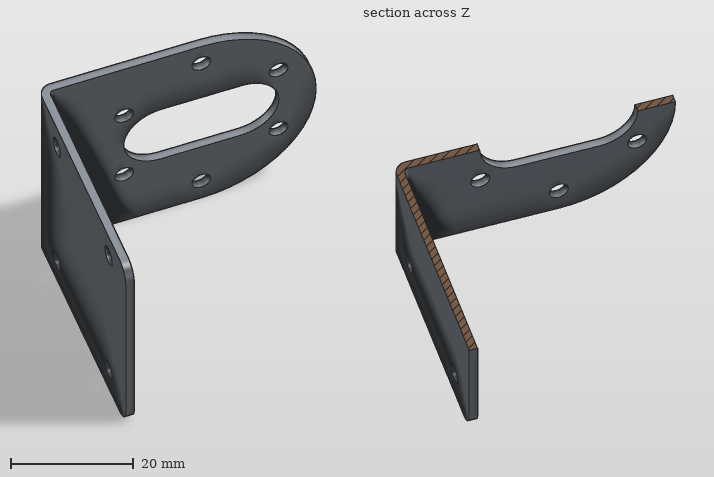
import cadquery as cq

width = 41.0
depth = 48.0
height = 40.0
thickness = 1.5
bend_outer_radius = 2.25
bend_inner_radius = bend_outer_radius - thickness
corner_radius = 3.0

mount_hole_diameter = 3.4
mount_hole_near_x = 9.0
mount_hole_spacing_x = 24.0
mount_hole_spacing_z = 30.0

end_radius = height / 2
motor_center_y = depth - end_radius
motor_hole_diameter = 3.25
motor_circle_radius = 15.5
motor_hole_count = 6
slot_length = 27.0
slot_width = 13.0


def bent_sheet():
    """L-shaped sheet with its bend along Z, centred on Z = 0."""
    sheet = (
        cq.Workplane("XY")
        .polyline([
            (0, 0),
            (width, 0),
            (width, thickness),
            (thickness, thickness),
            (thickness, depth),
            (0, depth),
        ])
        .close()
        .extrude(height / 2, both=True)
    )
    sheet = sheet.edges(cq.selectors.NearestToPointSelector((0, 0, 0))).fillet(bend_outer_radius)
    inner_corner = cq.selectors.NearestToPointSelector((thickness, thickness, 0))
    return sheet.edges(inner_corner).fillet(bend_inner_radius)


def round_plate_ends(sheet):
    """Round the mounting plate corners and the end of the motor plate."""
    sheet = sheet.faces(">X").edges("|Y").fillet(corner_radius)
    motor_outline = (
        cq.Workplane("YZ")
        .moveTo(0, -end_radius)
        .lineTo(motor_center_y, -end_radius)
        .threePointArc((depth, 0), (motor_center_y, end_radius))
        .lineTo(0, end_radius)
        .close()
        .extrude(width)
    )
    return sheet.intersect(motor_outline)


def mount_holes():
    """Four screw holes through the mounting plate."""
    return (
        cq.Workplane("XZ")
        .center(mount_hole_near_x + mount_hole_spacing_x / 2, 0)
        .rect(mount_hole_spacing_x, mount_hole_spacing_z, forConstruction=True)
        .vertices()
        .circle(mount_hole_diameter / 2)
        .extrude(-thickness)
    )


def motor_openings():
    """Central slot and the ring of screw holes through the motor plate."""
    plane = cq.Workplane("YZ").center(motor_center_y, 0)
    slot = plane.slot2D(slot_length, slot_width).extrude(thickness)
    holes = (
        plane.polarArray(motor_circle_radius, 90, 360, motor_hole_count)
        .circle(motor_hole_diameter / 2)
        .extrude(thickness)
    )
    return slot.union(holes)


result = round_plate_ends(bent_sheet()).cut(mount_holes()).cut(motor_openings())